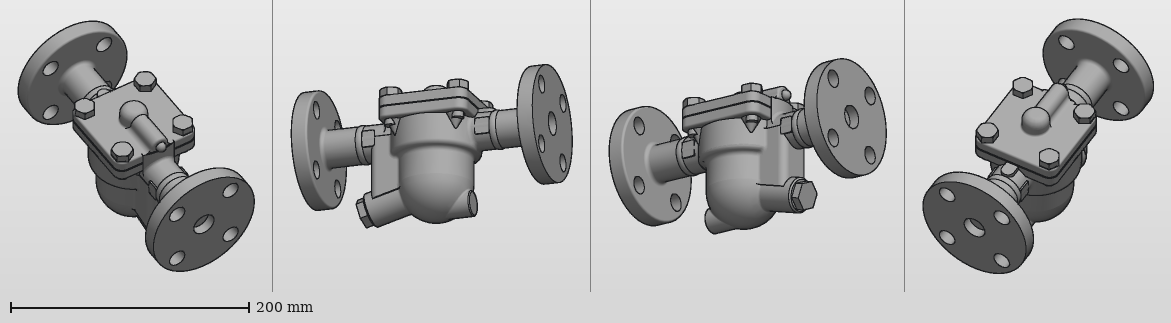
import cadquery as cq
import math

overall_length = 215.0
body_x = -3.98

flange_d = 100.0
flange_thickness = 14.2
flange_edge_fillet = 2.0
flange_hole_d = 15.0
flange_hole_offset = 26.5
bore_d = 20.0
bore_depth = 9.0

pipe_r = 16.02
flange_neck_fillet = 3.5
collar_inner_x = 56.8
collar_width = 5.8
collar_rise = 0.75
pipe_blend = 3.5

bowl_r = 31.8
bowl_bottom_z = -74.93
bowl_center_z = bowl_bottom_z + bowl_r
body_r = 38.3
body_bottom_z = -14.5
bowl_top_z = -22.5

plate_size = 79.0
plate_corner_r = 8.5
plate_edge_fillet = 2.0
plate_bottom_z = 8.8
plate_top_z = 28.5
joint_z = 19.03
joint_gap = 0.6
joint_depth = 0.6

lobe_r = 42.5
lobe_half_width = 15.5
lobe_blend = 2.8
lobe_root_z = -3.2

bolt_offset = 29.9
bolt_head_corner_d = 19.0
bolt_head_height = 6.9
bolt_head_chamfer = 0.9
bolt_end_d = 10.0
bolt_end_z = 3.9
boss_offset = 26.2
boss_r = 8.4
boss_height = 15.0

dome_r = 11.8
dome_top_z = 44.0
dome_round = 8.0
dome_base_fillet = 2.0

arm_r = 8.2
arm_axis_z = 33.8
arm_end_fillet = 2.0
ball_r = 4.5
ball_x = 39.3

rib_half_width = 16.3
rib_end_x = 49.9
rib_corner_r = 6.7
rib_top_z = 1.0
rib_blend = 3.5
rib_ledge_lift = 3.2

plug_angle = 15.0
plug_d = 30.0
plug_length = 61.3
plug_chamfer = 1.5
plug_blend = 2.5
plug_hex_corner_d = 25.8
plug_hex_height = 7.0
plug_hex_turn = 6.0

drain_r = 11.0
drain_z = -62.8
drain_x = -37.2
drain_chamfer = 0.97
drain_blend = 1.5

pad_half_height = 7.0
pad_reach = 16.0
pad_corner_r = 1.3
left_pad_length = 13.0
right_pad_length = 11.2

tab_half_width = 5.8
tab_top_z = 18.6

half_length = overall_length / 2

margin = 0.2
seam_reach = pipe_r + margin


def cylinder_x(radius, x_start, x_end, z=0.0):
    """Cylinder parallel to the X axis between two X positions."""
    plane = cq.Workplane("YZ", origin=(x_start, 0, z))
    return plane.circle(radius).extrude(x_end - x_start)


def cylinder_z(radius, z_start, z_end, x=body_x, y=0.0):
    """Vertical cylinder between two heights."""
    return cq.Workplane("XY", origin=(x, y, z_start)).circle(radius).extrude(z_end - z_start)


def box_between(x_limits, y_limits, z_limits):
    """Box given by its lower and upper limit along each axis."""
    limits = (x_limits, y_limits, z_limits)
    sizes = [high - low for low, high in limits]
    corner = tuple(low for low, high in limits)
    return cq.Workplane("XY").box(*sizes, centered=False).translate(corner)


def fillet_inside(shape, low, high, radius):
    """Fillet the edges that lie wholly inside the box between two corners."""
    return shape.edges(cq.selectors.BoxSelector(low, high, boundingbox=True)).fillet(radius)


def corner_points(offset):
    """Four points around the body axis, as signs and XY position."""
    return [(sx, sy, body_x + sx * offset, sy * offset) for sx in (-1, 1) for sy in (-1, 1)]


def make_body():
    step_mid_r = (body_r + bowl_r) / 2
    step_mid_z = (body_bottom_z + bowl_top_z) / 2
    bowl_mid = bowl_r * math.sqrt(0.5)
    profile = (
        cq.Workplane("XZ")
        .moveTo(0, plate_top_z - 2.2)
        .lineTo(body_r, plate_top_z - 2.2)
        .lineTo(body_r, body_bottom_z)
        .tangentArcPoint((step_mid_r, step_mid_z), relative=False)
        .tangentArcPoint((bowl_r, bowl_top_z), relative=False)
        .lineTo(bowl_r, bowl_center_z)
        .threePointArc((bowl_mid, bowl_center_z - bowl_mid), (0, bowl_bottom_z))
        .close()
    )
    return profile.revolve(360, (0, 0, 0), (0, 1, 0)).translate((body_x, 0, 0))


def make_pads(x_start, x_end):
    """Wrench pads on the -Y and +Y sides of the pipe."""
    pads = box_between(
        (x_start, x_end), (-pad_reach, pad_reach), (-pad_half_height, pad_half_height)
    )
    return pads.edges("|Y").fillet(pad_corner_r)


def make_pipe_end(pad_length):
    flange_back_x = -half_length + flange_thickness
    flange = cylinder_x(flange_d / 2, -half_length, flange_back_x)
    flange = flange.faces(">X").edges().fillet(flange_edge_fillet)
    pipe = cylinder_x(pipe_r, flange_back_x, body_x)
    end = flange.union(pipe)
    seam_low = (flange_back_x - margin, -seam_reach, -seam_reach)
    seam_high = (flange_back_x + margin, seam_reach, seam_reach)
    end = fillet_inside(end, seam_low, seam_high, flange_neck_fillet)

    collar_outer_x = collar_inner_x + collar_width
    collar = (
        cq.Workplane("XY")
        .moveTo(-collar_outer_x, 0)
        .lineTo(-collar_outer_x, pipe_r)
        .threePointArc(
            (-collar_inner_x - collar_width / 2, pipe_r + collar_rise),
            (-collar_inner_x, pipe_r),
        )
        .lineTo(-collar_inner_x, 0)
        .close()
        .revolve(360, (0, 0, 0), (1, 0, 0))
    )
    end = end.union(collar).union(make_pads(-collar_inner_x, -collar_inner_x + pad_length))

    holes = (
        cq.Workplane("YZ", origin=(-half_length, 0, 0))
        .rect(2 * flange_hole_offset, 2 * flange_hole_offset, forConstruction=True)
        .vertices()
        .circle(flange_hole_d / 2)
        .extrude(flange_thickness)
    )
    bore = cylinder_x(bore_d / 2, -half_length, -half_length + bore_depth)
    return end.cut(holes).cut(bore)


def make_tab():
    """Round-ended tab on top of the left pipe."""
    tip_center_x = -collar_inner_x + tab_half_width
    tip = cylinder_z(tab_half_width, 0, tab_top_z, tip_center_x)
    bar = box_between((tip_center_x, body_x), (-tab_half_width, tab_half_width), (0, tab_top_z))
    return tip.union(bar)


def make_rib():
    """Upright rib whose sloping underside runs parallel to the plug axis."""
    drop = (rib_end_x - body_x) * math.tan(math.radians(plug_angle))
    ledge_z = bowl_center_z + rib_ledge_lift
    rib = (
        cq.Workplane("XZ", origin=(0, rib_half_width, 0))
        .moveTo(body_x, rib_top_z)
        .lineTo(rib_end_x, rib_top_z)
        .lineTo(rib_end_x, ledge_z - drop)
        .lineTo(body_x, ledge_z)
        .close()
        .extrude(2 * rib_half_width)
    )
    return rib.edges("|Z and >X").fillet(rib_corner_r)


def tilt_to_plug(shape):
    """Move a shape built along the X axis from the origin onto the plug axis."""
    return shape.rotate((0, 0, 0), (0, 1, 0), plug_angle).translate((body_x, 0, bowl_center_z))


def make_plug():
    """Plug holder, revolved about an axis through the bowl centre, with a blend into the bowl."""
    plug_r = plug_d / 2
    blend_axis_r = plug_r + plug_blend
    blend_x = math.sqrt((bowl_r + plug_blend) ** 2 - blend_axis_r**2)
    on_bowl = bowl_r / (bowl_r + plug_blend)
    holder = (
        cq.Workplane("XY")
        .lineTo(blend_x * on_bowl, blend_axis_r * on_bowl)
        .radiusArc((blend_x, plug_r), -plug_blend)
        .lineTo(plug_length - plug_chamfer, plug_r)
        .lineTo(plug_length, plug_r - plug_chamfer)
        .lineTo(plug_length, 0)
        .close()
        .revolve(360, (0, 0, 0), (1, 0, 0))
    )
    return tilt_to_plug(holder)


def make_plug_head():
    head = (
        cq.Workplane("YZ", origin=(plug_length, 0, 0))
        .polygon(6, plug_hex_corner_d)
        .extrude(plug_hex_height)
        .rotate((0, 0, 0), (1, 0, 0), 90 - plug_hex_turn)
    )
    return tilt_to_plug(head)


def make_plates():
    height = plate_top_z - plate_bottom_z
    plates = (
        cq.Workplane("XY", origin=(body_x, 0, plate_bottom_z))
        .rect(plate_size, plate_size)
        .extrude(height)
        .edges("|Z")
        .fillet(plate_corner_r)
        .faces("<Z or >Z")
        .edges()
        .fillet(plate_edge_fillet)
    )
    groove = (
        cq.Workplane("XY", origin=(body_x, 0, joint_z - joint_gap / 2))
        .rect(plate_size + 2.2, plate_size + 2.2)
        .extrude(joint_gap)
    )
    core_size = plate_size - 2 * joint_depth
    core = (
        cq.Workplane("XY", origin=(body_x, 0, plate_bottom_z))
        .rect(core_size, core_size)
        .extrude(height)
        .edges("|Z")
        .fillet(plate_corner_r - joint_depth)
    )
    return plates.cut(groove.cut(core))


def make_lobe(z_start, z_end):
    """Rounded lobe of the plates under the end of the cover arm."""
    strip = box_between(
        (body_x, body_x + lobe_r), (-lobe_half_width, lobe_half_width), (z_start, z_end)
    )
    return strip.intersect(cylinder_z(lobe_r, z_start, z_end))


def make_bolts():
    bolts = cq.Workplane("XY")
    for sx, sy, x, y in corner_points(bolt_offset):
        turn = 30 if sx == sy else 0
        head = (
            cq.Workplane("XY")
            .polygon(6, bolt_head_corner_d)
            .extrude(bolt_head_height)
            .rotate((0, 0, 0), (0, 0, 1), turn)
        )
        crown = cylinder_z(bolt_head_corner_d / 2, 0, bolt_head_height, 0)
        crown = crown.faces(">Z").edges().chamfer(bolt_head_chamfer)
        head = head.intersect(crown).translate((x, y, plate_top_z))
        end = cylinder_z(bolt_end_d / 2, bolt_end_z, plate_top_z, x, y)
        bolts = bolts.union(head).union(end)
    return bolts


def make_bosses():
    """Inverted cones that carry the plate corners on the body."""
    bosses = cq.Workplane("XY")
    down = cq.Vector(0, 0, -1)
    for _, _, x, y in corner_points(boss_offset):
        top = cq.Vector(x, y, plate_bottom_z)
        bosses = bosses.union(cq.Workplane(cq.Solid.makeCone(boss_r, 0, boss_height, top, down)))
    return bosses


def make_dome():
    dome = cylinder_z(dome_r, plate_top_z, dome_top_z)
    dome = dome.faces(">Z").edges().fillet(dome_round)
    base = (
        cq.Workplane("XZ")
        .moveTo(0, plate_top_z)
        .lineTo(dome_r + dome_base_fillet, plate_top_z)
        .radiusArc((dome_r, plate_top_z + dome_base_fillet), dome_base_fillet)
        .lineTo(0, plate_top_z + dome_base_fillet)
        .close()
        .revolve(360, (0, 0, 0), (0, 1, 0))
        .translate((body_x, 0, 0))
    )
    return dome.union(base)


def make_arm():
    """Half-round arm with flared foot, ending on the lobe radius."""
    flare = arm_axis_z - plate_top_z
    arm = (
        cq.Workplane("YZ", origin=(body_x, 0, 0))
        .moveTo(-arm_r - flare, plate_top_z)
        .radiusArc((-arm_r, arm_axis_z), -flare)
        .threePointArc((0, arm_axis_z + arm_r), (arm_r, arm_axis_z))
        .radiusArc((arm_r + flare, plate_top_z), -flare)
        .close()
        .extrude(lobe_r)
    )
    limit = cylinder_z(lobe_r, plate_top_z, dome_top_z)
    arm = arm.intersect(limit).faces(">X").edges().fillet(arm_end_fillet)
    ball = cq.Workplane("XY").sphere(ball_r).translate((ball_x, 0, arm_axis_z))
    return arm.union(ball)


def add_rib(solid):
    solid = solid.union(make_rib())
    for side in (-1, 1):
        face_y = side * rib_half_width
        seam_low = (body_x, face_y - margin, bowl_bottom_z)
        seam_high = (body_x + body_r, face_y + margin, rib_top_z + margin)
        solid = fillet_inside(solid, seam_low, seam_high, rib_blend)
    return solid


def add_left_pipe(solid, pipe):
    seam_low = (body_x - body_r - margin, -seam_reach, -seam_reach)
    seam_high = (body_x - bowl_r, seam_reach, seam_reach)
    return fillet_inside(solid.union(pipe), seam_low, seam_high, pipe_blend)


def add_lobe(pipe):
    seam_low = (body_x + bowl_r, -seam_reach, 0)
    seam_high = (body_x + lobe_r + margin, seam_reach, seam_reach)
    with_lobe = pipe.union(make_lobe(lobe_root_z, joint_z))
    return fillet_inside(with_lobe, seam_low, seam_high, lobe_blend)


def add_drain(solid):
    """Horizontal drain blended into the bowl, then cut to length and chamfered."""
    rough_x = drain_x - drain_r
    solid = solid.union(cylinder_x(drain_r, rough_x, body_x, drain_z))
    seam_low = (drain_x, -drain_r - margin, drain_z - drain_r - margin)
    seam_high = (body_x, drain_r + margin, drain_z + drain_r + margin)
    solid = fillet_inside(solid, seam_low, seam_high, drain_blend)

    drain = cylinder_x(drain_r, drain_x, body_x, drain_z)
    drain = drain.faces("<X").edges().chamfer(drain_chamfer)
    end_cut = cylinder_x(drain_r + 2.2, rough_x, drain_x + drain_chamfer, drain_z).cut(drain)
    return solid.cut(end_cut)


cover = make_plates().union(make_lobe(joint_z, plate_top_z))
for feature in (make_bolts(), make_dome(), make_arm()):
    cover = cover.union(feature)

left_pipe = make_pipe_end(left_pad_length)
right_pipe = make_pipe_end(right_pad_length).mirror("YZ")
result = add_rib(make_body()).union(make_plug()).union(add_lobe(right_pipe))
result = add_left_pipe(result, left_pipe)
result = add_drain(result)
for feature in (make_tab(), make_plug_head(), make_bosses(), cover):
    result = result.union(feature)